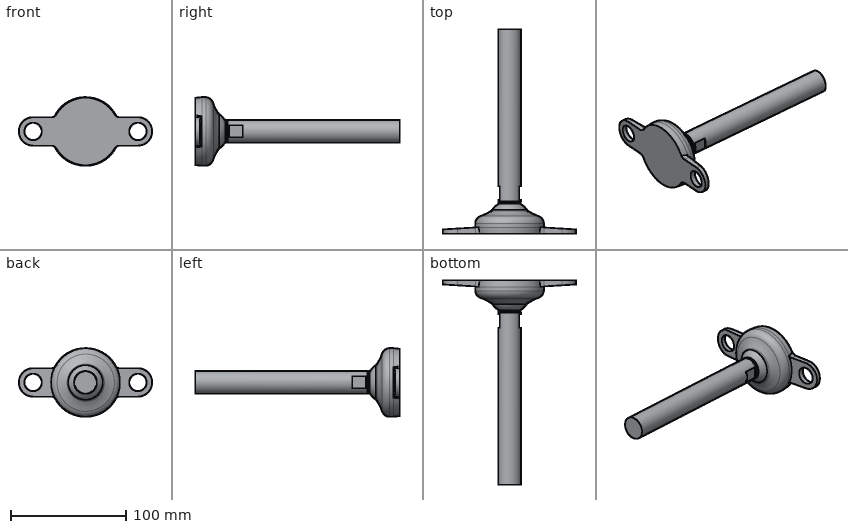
import cadquery as cq
import math

total_length = 178.0

foot_radius = 30.0
underside_radius = 29.4
draft_height = 5.9
rim_height = 9.0
shoulder_height = 15.7
shoulder_radius = 25.0
bell_top_height = 20.0
bell_top_radius = 16.2
lip_height = 21.0

ear_radius = 12.5
ear_hole_radius = 7.5
ear_reach = 58.0
ear_hole_spacing = 2 * (ear_reach - ear_radius)
ear_tip_thickness = 4.0
ear_root_thickness = draft_height
ear_root_x = 25.6
web_radius = 5.0

ball_radius = 18.25
ball_centre_y = 10.7
flange_radius = 10.0
flange_bottom = 26.3
flange_top = 27.0
neck_radius = 8.9
rod_radius = 10.0
rod_start = 28.3

flat_distance = 8.5
flat_start = 29.7
flat_end = 41.3


def ball_radius_at(y):
    """Radius of the ball's cross-section at height y."""
    return math.sqrt(ball_radius**2 - (y - ball_centre_y)**2)


def arc_middle(start_radius, end_radius, start_y, end_y, bulge):
    """Midpoint of an arc, pushed outward from its chord by the bulge."""
    chord_r = end_radius - start_radius
    chord_y = end_y - start_y
    chord = math.hypot(chord_r, chord_y)
    return (
        (start_radius + end_radius) / 2 + bulge * chord_y / chord,
        (start_y + end_y) / 2 - bulge * chord_r / chord,
    )


def revolve_about_y(profile):
    return profile.close().revolve(360, (0, 0, 0), (0, 1, 0))


def make_bell():
    shoulder_bulge = 1.2
    flare_bulge = -0.4
    shoulder_middle = arc_middle(
        foot_radius, shoulder_radius, rim_height, shoulder_height, shoulder_bulge)
    flare_middle = arc_middle(
        shoulder_radius, bell_top_radius, shoulder_height, bell_top_height, flare_bulge)
    return revolve_about_y(
        cq.Workplane("XY")
        .moveTo(0, 0)
        .lineTo(underside_radius, 0)
        .lineTo(foot_radius, draft_height)
        .lineTo(foot_radius, rim_height)
        .threePointArc(shoulder_middle, (shoulder_radius, shoulder_height))
        .threePointArc(flare_middle, (bell_top_radius, bell_top_height))
        .lineTo(ball_radius_at(lip_height), lip_height)
        .lineTo(0, lip_height)
    )


def make_ear_plate():
    """Both ears in one slot-shaped plate, blended into the rim, with tops sloping outward."""
    web_x = math.sqrt((underside_radius + web_radius)**2 - (ear_radius + web_radius)**2)
    rim_share = underside_radius / (underside_radius + web_radius)
    rim_x = web_x * rim_share
    rim_z = (ear_radius + web_radius) * rim_share
    to_rim_angle = math.atan2(-(ear_radius + web_radius), -web_x)
    middle_angle = (to_rim_angle - math.pi / 2) / 2
    middle_x = web_x + web_radius * math.cos(middle_angle)
    middle_z = ear_radius + web_radius + web_radius * math.sin(middle_angle)

    plan = cq.Workplane("XZ").slot2D(2 * ear_reach, 2 * ear_radius).extrude(-draft_height)
    for side_x in (-1, 1):
        for side_z in (-1, 1):
            web = (
                cq.Workplane("XZ")
                .moveTo(0, 0)
                .lineTo(side_x * web_x, 0)
                .lineTo(side_x * web_x, side_z * ear_radius)
                .threePointArc(
                    (side_x * middle_x, side_z * middle_z),
                    (side_x * rim_x, side_z * rim_z))
                .close()
                .extrude(-draft_height)
            )
            plan = plan.union(web)

    side_profile = (
        cq.Workplane("XY")
        .polyline([
            (-ear_reach, 0),
            (ear_reach, 0),
            (ear_reach, ear_tip_thickness),
            (ear_root_x, ear_root_thickness),
            (-ear_root_x, ear_root_thickness),
            (-ear_reach, ear_tip_thickness),
        ])
        .close()
        .extrude(foot_radius, both=True)
    )
    return plan.intersect(side_profile)


def make_ear_holes():
    return (
        cq.Workplane("XZ")
        .rarray(ear_hole_spacing, 1.8, 2, 1)
        .circle(ear_hole_radius)
        .extrude(-draft_height)
    )


def make_socket():
    """Space filled by the ball: a dome above the ball centre, open through the lip."""
    dome = cq.Workplane("XY").sphere(ball_radius).translate((0, ball_centre_y, 0))
    upper_half = (
        cq.Workplane("XZ", origin=(0, ball_centre_y, 0)).circle(foot_radius).extrude(-ball_radius)
    )
    return dome.intersect(upper_half)


def make_foot():
    return make_bell().union(make_ear_plate()).cut(make_ear_holes()).cut(make_socket())


def make_wrench_flat_cuts():
    flat_depth = rod_radius - flat_distance
    return (
        cq.Workplane("XY", origin=(0, (flat_start + flat_end) / 2, 0))
        .rarray(2 * flat_distance + flat_depth, 1.8, 2, 1)
        .rect(flat_depth, flat_end - flat_start)
        .extrude(rod_radius, both=True)
    )


def make_stem():
    """Rod, neck, flange and half ball, turned in one piece."""
    half_angle = (math.asin((flange_bottom - ball_centre_y) / ball_radius)) / 2
    ball_middle = (
        ball_radius * math.cos(half_angle),
        ball_centre_y + ball_radius * math.sin(half_angle),
    )
    turned = revolve_about_y(
        cq.Workplane("XY")
        .moveTo(0, ball_centre_y)
        .lineTo(ball_radius, ball_centre_y)
        .threePointArc(ball_middle, (ball_radius_at(flange_bottom), flange_bottom))
        .lineTo(flange_radius, flange_bottom)
        .lineTo(flange_radius, flange_top)
        .lineTo(neck_radius, flange_top)
        .lineTo(neck_radius, rod_start)
        .lineTo(rod_radius, rod_start)
        .lineTo(rod_radius, total_length)
        .lineTo(0, total_length)
    )
    return turned.cut(make_wrench_flat_cuts())


foot = make_foot()
stem = make_stem()

result = cq.Compound.makeCompound([foot.solids().val(), stem.solids().val()])